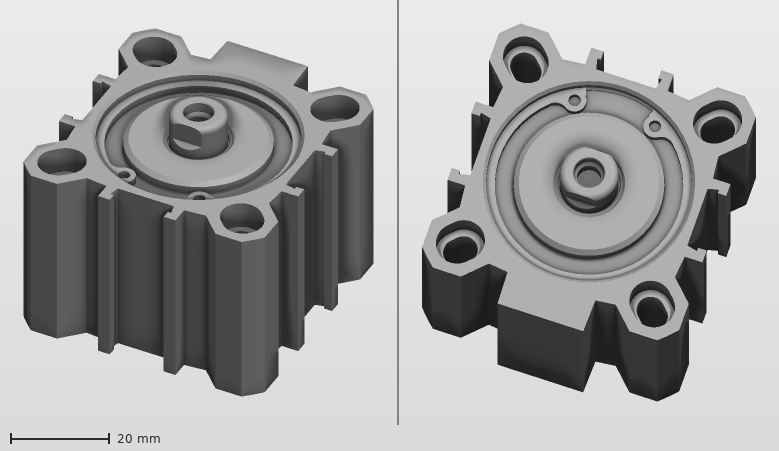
import cadquery as cq
import math

HOUSING_HEIGHT = 39.5
HALF_WIDTH = 27.5
POST_ROUND_DIAMETER = 72.95
POST_EDGE = 18.05
POST_ROOT = 13.6
ROOT_OFFSET = HALF_WIDTH - (POST_EDGE - POST_ROOT)
WALL_OFFSET = 23.2
SHOULDER_OFFSET = 23.5

RIB_OUTER = 8.8
RIB_LIP = 6.15
RIB_NECK = 6.9
RIB_FOOT = 6.4
RIB_TOP_OFFSET = 27.25
RIB_LIP_THICKNESS = 1.8

PORT_OFFSET = 30.5
PORT_TOP_HALF_WIDTH = 9.15
PORT_FOOT_HALF_WIDTH = 9.4

BOLT_CIRCLE_RADIUS = 29.0
BOLT_SLOT_STRETCH = 1.5
BOLT_SLOT_WIDTH = 5.7
COUNTERBORE_WIDTH = 8.6
COUNTERBORE_DEPTH = 6.0

BORE_DIAMETER = 41.7
BORE_DEPTH = 11.6
BORE_CHAMFER = 0.65

RING_OUTER_DIAMETER = 44.7
RING_INNER_DIAMETER = 38.15
RING_TOP_DEPTH = 2.1
RING_THICKNESS = 1.75
LUG_X = 8.6
LUG_Y = -16.2
LUG_RADIUS = 2.4
LUG_HOLE_DIAMETER = 2.5
LUG_FILLET = 2.6

FLANGE_CHAMFER = 0.25
BOSS_DIAMETER = 30.5
BOSS_TOP_DIAMETER = 28.4
BOSS_TOP_DEPTH = 0.75
BOSS_CHAMFER_HEIGHT = 0.75
BOSS_FOOT_FILLET = 0.65
RECESS_RIM_DIAMETER = 14.6
RECESS_DIAMETER = 13.7
SEAL_RIM_DIAMETER = 13.0
SEAL_STEP_DIAMETER = 12.5
SEAL_STEP_DEPTH = 1.4

ROD_DIAMETER = 12.0
ROD_PROTRUSION = 6.0
ROD_TOP_FILLET = 1.35
FLAT_WIDTH = 10.1
FLAT_LENGTH = 4.45
ROD_HOLE_DIAMETER = 4.95
ROD_HOLE_DEPTH = 5.8
ROD_COUNTERBORE_DIAMETER = 6.25
ROD_COUNTERBORE_DEPTH = 2.4
ROD_RIM_CHAMFER = 0.2

BORE_FLOOR = HOUSING_HEIGHT - BORE_DEPTH
RING_TOP = HOUSING_HEIGHT - RING_TOP_DEPTH
RING_BOTTOM = RING_TOP - RING_THICKNESS
BOSS_TOP = HOUSING_HEIGHT - BOSS_TOP_DEPTH
ROD_TOP = HOUSING_HEIGHT + ROD_PROTRUSION


def cylinder(diameter, bottom, top):
    """Upright cylinder on the Z axis between two levels."""
    return cq.Workplane("XY").workplane(offset=bottom).circle(diameter / 2).extrude(top - bottom)


def cone(bottom_diameter, top_diameter, bottom, top):
    """Upright truncated cone on the Z axis between two levels."""
    solid = cq.Solid.makeCone(
        bottom_diameter / 2, top_diameter / 2, top - bottom, pnt=cq.Vector(0, 0, bottom)
    )
    return cq.Workplane(obj=solid)


def side_points(middle):
    """One side's outline as (along, outward) pairs, where `middle` is the half between post and centre."""
    half = [
        (POST_EDGE, HALF_WIDTH),
        (POST_ROOT, ROOT_OFFSET),
    ] + middle
    mirrored = [(-along, outward) for along, outward in reversed(half)]
    return half + mirrored


def housing_outline():
    """All four sides and square corners of the housing, anticlockwise from the +Y side."""
    rib = [
        (RIB_OUTER, SHOULDER_OFFSET),
        (RIB_OUTER, RIB_TOP_OFFSET),
        (RIB_LIP, RIB_TOP_OFFSET),
        (RIB_LIP, RIB_TOP_OFFSET - RIB_LIP_THICKNESS),
        (RIB_NECK, RIB_TOP_OFFSET - RIB_LIP_THICKNESS),
        (RIB_FOOT, WALL_OFFSET),
    ]
    port = [
        (PORT_FOOT_HALF_WIDTH, SHOULDER_OFFSET),
        (PORT_TOP_HALF_WIDTH, PORT_OFFSET),
    ]
    points = []
    corner = (-HALF_WIDTH, HALF_WIDTH)
    for quarter_turns, middle in enumerate([port, rib, rib, rib]):
        turn = math.radians(90 * quarter_turns)
        for along, outward in side_points(middle) + [corner]:
            x = along * math.cos(turn) - outward * math.sin(turn)
            y = along * math.sin(turn) + outward * math.cos(turn)
            points.append((x, y))
    return points


def bolt_slots(width, bottom, top):
    """Four slots on the diagonals, each stretched radially."""
    slots = cq.Workplane("XY").workplane(offset=bottom)
    slots = slots.polarArray(BOLT_CIRCLE_RADIUS, 45, 360, 4)
    return slots.slot2D(width + BOLT_SLOT_STRETCH, width).extrude(top - bottom)


def make_housing():
    body = cq.Workplane("XY").polyline(housing_outline()).close().extrude(HOUSING_HEIGHT)
    body = body.intersect(cylinder(POST_ROUND_DIAMETER, 0, HOUSING_HEIGHT))
    body = body.cut(bolt_slots(BOLT_SLOT_WIDTH, 0, HOUSING_HEIGHT))
    body = body.cut(bolt_slots(COUNTERBORE_WIDTH, HOUSING_HEIGHT - COUNTERBORE_DEPTH, HOUSING_HEIGHT))
    body = body.cut(cylinder(BORE_DIAMETER, BORE_FLOOR, HOUSING_HEIGHT))
    rim_diameter = BORE_DIAMETER + 2 * BORE_CHAMFER
    body = body.cut(cone(BORE_DIAMETER, rim_diameter, HOUSING_HEIGHT - BORE_CHAMFER, HOUSING_HEIGHT))
    return body.cut(cylinder(RING_OUTER_DIAMETER, RING_BOTTOM, RING_TOP))


def make_cover():
    flange = cylinder(BORE_DIAMETER, BORE_FLOOR, RING_BOTTOM).faces(">Z").chamfer(FLANGE_CHAMFER)
    chamfer_bottom = BOSS_TOP - BOSS_CHAMFER_HEIGHT
    boss = cylinder(BOSS_DIAMETER, RING_BOTTOM, chamfer_bottom)
    boss = boss.union(cone(BOSS_DIAMETER, BOSS_TOP_DIAMETER, chamfer_bottom, BOSS_TOP))
    body = flange.union(boss)
    foot = cq.selectors.BoxSelector(
        (-BOSS_DIAMETER, -BOSS_DIAMETER, RING_BOTTOM - FLANGE_CHAMFER / 2),
        (BOSS_DIAMETER, BOSS_DIAMETER, RING_BOTTOM + FLANGE_CHAMFER / 2),
    )
    body = body.edges(foot).edges(cq.selectors.RadiusNthSelector(0)).fillet(BOSS_FOOT_FILLET)
    body = body.cut(cylinder(ROD_DIAMETER, BORE_FLOOR, BOSS_TOP))

    recess_floor = BOSS_TOP - (RECESS_RIM_DIAMETER - RECESS_DIAMETER) / 2
    seal_chamfer = (SEAL_RIM_DIAMETER - SEAL_STEP_DIAMETER) / 2
    body = body.cut(cone(RECESS_DIAMETER, RECESS_RIM_DIAMETER, recess_floor, BOSS_TOP))
    body = body.cut(cone(SEAL_STEP_DIAMETER, SEAL_RIM_DIAMETER, recess_floor - seal_chamfer, recess_floor))
    return body.cut(cylinder(SEAL_STEP_DIAMETER, BOSS_TOP - SEAL_STEP_DEPTH, BOSS_TOP))


def make_snap_ring():
    """Open ring with a holed lug at each end; the ends are radial and tangent to the lugs."""
    lug_distance = math.hypot(LUG_X, LUG_Y)
    gap_half_angle = math.atan2(LUG_X, -LUG_Y) - math.asin(LUG_RADIUS / lug_distance)
    lugs = [(-LUG_X, LUG_Y), (LUG_X, LUG_Y)]
    plane = cq.Workplane("XY").workplane(offset=RING_BOTTOM)

    ring = plane.circle(RING_OUTER_DIAMETER / 2).circle(RING_INNER_DIAMETER / 2).extrude(RING_THICKNESS)
    gap_y = -RING_OUTER_DIAMETER
    gap_x = RING_OUTER_DIAMETER * math.tan(gap_half_angle)
    gap = plane.polyline([(0, 0), (-gap_x, gap_y), (gap_x, gap_y)]).close().extrude(RING_THICKNESS)
    ring = ring.cut(gap)
    ring = ring.union(plane.pushPoints(lugs).circle(LUG_RADIUS).extrude(RING_THICKNESS))

    for side in (-1, 1):
        corner = cq.selectors.BoxSelector(
            (side * LUG_X, LUG_Y, RING_BOTTOM),
            (side * (LUG_X + LUG_RADIUS), LUG_Y + LUG_RADIUS, RING_TOP),
        )
        ring = ring.edges("|Z").edges(corner).fillet(LUG_FILLET)
    return ring.cut(plane.pushPoints(lugs).circle(LUG_HOLE_DIAMETER / 2).extrude(RING_THICKNESS))


def make_rod():
    body = cylinder(ROD_DIAMETER, BORE_FLOOR, ROD_TOP).faces(">Z").edges().fillet(ROD_TOP_FILLET)

    flat_y = FLAT_WIDTH / 2
    reach = ROD_DIAMETER
    flat_bottom = ROD_TOP - FLAT_LENGTH
    run_out = reach - flat_y
    flat = (
        cq.Workplane("YZ")
        .polyline([
            (flat_y, ROD_TOP),
            (flat_y, flat_bottom),
            (reach, flat_bottom - run_out),
            (reach, ROD_TOP),
        ])
        .close()
        .extrude(ROD_DIAMETER / 2, both=True)
    )
    body = body.cut(flat).cut(flat.mirror("XZ"))

    body = body.cut(cylinder(ROD_HOLE_DIAMETER, ROD_TOP - ROD_HOLE_DEPTH, ROD_TOP))
    cone_top = ROD_TOP - ROD_COUNTERBORE_DEPTH
    cone_height = (ROD_COUNTERBORE_DIAMETER - ROD_HOLE_DIAMETER) / 2
    body = body.cut(cylinder(ROD_COUNTERBORE_DIAMETER, cone_top, ROD_TOP))
    body = body.cut(cone(ROD_HOLE_DIAMETER, ROD_COUNTERBORE_DIAMETER, cone_top - cone_height, cone_top))
    rim_diameter = ROD_COUNTERBORE_DIAMETER + 2 * ROD_RIM_CHAMFER
    return body.cut(cone(ROD_COUNTERBORE_DIAMETER, rim_diameter, ROD_TOP - ROD_RIM_CHAMFER, ROD_TOP))


housing = make_housing()
cover = make_cover()
snap_ring = make_snap_ring()
rod = make_rod()

result = cq.Compound.makeCompound([housing.val(), cover.val(), snap_ring.val(), rod.val()])